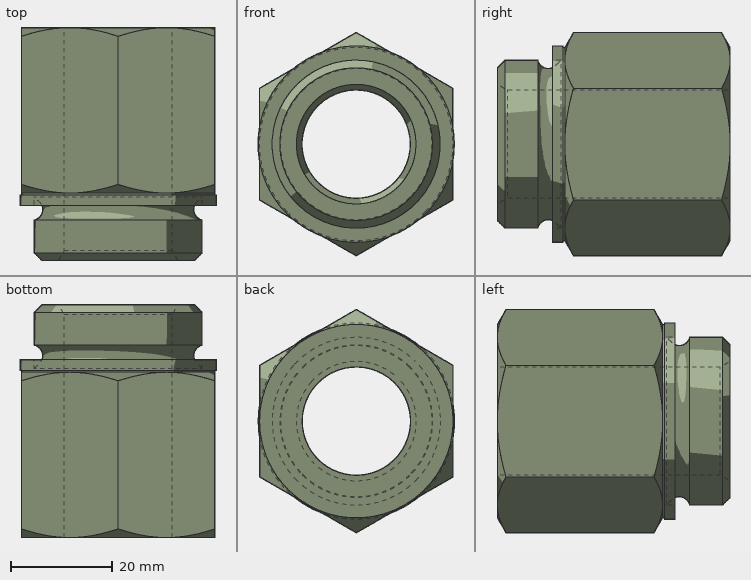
import cadquery as cq
import math

length = 46.1

across_flats = 38.3
across_corners = across_flats / math.cos(math.pi / 6)
corner_bevel_angle = math.radians(30)

relief_diameter = across_flats
flange_diameter = 38.9
spigot_diameter = 33.3
groove_diameter = 29.95
bore_diameter = 21.4
bore_mouth_diameter = 23.7

tip_chamfer = 1.5
spigot_length = 8.0
groove_arc_span = 4.15
groove_arc_length = 3.7
groove_cone_length = 0.9
spigot_to_flange_gap = 2.85
flange_thickness = 2.1
relief_width = 0.35
bore_chamfer_depth = 2.0

tip_y = -length / 2
back_y = length / 2
groove_front_y = tip_y + spigot_length
flange_front_y = groove_front_y + spigot_to_flange_gap
flange_back_y = flange_front_y + flange_thickness
hex_front_y = flange_back_y + relief_width


def revolve_about_y(profile):
    """Revolve a closed half profile, drawn as (radius, y), about the Y axis."""
    return profile.close().revolve(360, (0, 0, 0), (0, 1, 0))


def make_hexagon():
    """Hexagonal body with its corners at +Z and -Z, bevelled conically at both ends."""
    prism = (
        cq.Workplane("XZ", origin=(0, back_y, 0))
        .polygon(6, across_corners)
        .extrude(back_y - hex_front_y)
        .rotate((0, 0, 0), (0, 1, 0), 30)
    )
    flat_radius = across_flats / 2
    corner_radius = across_corners / 2
    bevel_length = (corner_radius - flat_radius) * math.tan(corner_bevel_angle)
    envelope = revolve_about_y(
        cq.Workplane("XY")
        .moveTo(0, hex_front_y)
        .lineTo(flat_radius, hex_front_y)
        .lineTo(corner_radius, hex_front_y + bevel_length)
        .lineTo(corner_radius, back_y - bevel_length)
        .lineTo(flat_radius, back_y)
        .lineTo(0, back_y)
    )
    return prism.intersect(envelope)


def make_turned_end():
    """Spigot, undercut groove, flange and the narrow relief in front of the hexagon."""
    spigot_radius = spigot_diameter / 2
    groove_radius = groove_diameter / 2
    flange_radius = flange_diameter / 2
    relief_radius = relief_diameter / 2
    groove_depth = spigot_radius - groove_radius
    half_span = groove_arc_span / 2
    arc_radius = (half_span**2 + groove_depth**2) / (2 * groove_depth)
    past_middle = groove_arc_length - half_span
    arc_end_rise = arc_radius - math.sqrt(arc_radius**2 - past_middle**2)
    groove_middle = (groove_radius, groove_front_y + half_span)
    arc_end = (groove_radius + arc_end_rise, groove_front_y + groove_arc_length)
    cone_end = (spigot_radius, groove_front_y + groove_arc_length + groove_cone_length)
    return revolve_about_y(
        cq.Workplane("XY")
        .moveTo(0, tip_y)
        .lineTo(spigot_radius - tip_chamfer, tip_y)
        .lineTo(spigot_radius, tip_y + tip_chamfer)
        .lineTo(spigot_radius, groove_front_y)
        .threePointArc(groove_middle, arc_end)
        .lineTo(*cone_end)
        .lineTo(spigot_radius, flange_front_y)
        .lineTo(flange_radius, flange_front_y)
        .lineTo(flange_radius, flange_back_y)
        .lineTo(relief_radius, flange_back_y)
        .lineTo(relief_radius, hex_front_y)
        .lineTo(0, hex_front_y)
    )


def make_bore():
    """Through bore with a conical mouth at the spigot tip."""
    bore_radius = bore_diameter / 2
    return revolve_about_y(
        cq.Workplane("XY")
        .moveTo(0, tip_y)
        .lineTo(bore_mouth_diameter / 2, tip_y)
        .lineTo(bore_radius, tip_y + bore_chamfer_depth)
        .lineTo(bore_radius, back_y)
        .lineTo(0, back_y)
    )


result = make_hexagon().union(make_turned_end()).cut(make_bore())